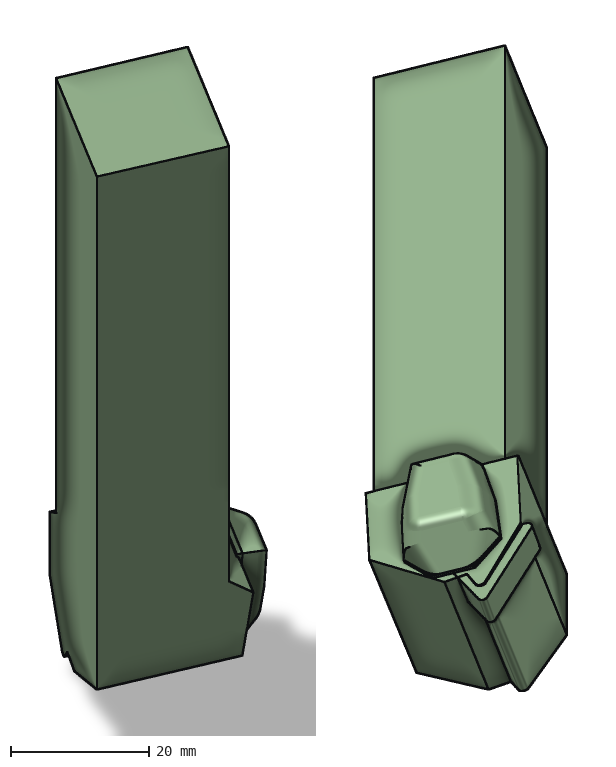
import cadquery as cq
import math


shank_top = 126.4
shank_width = 20.0
shank_depth = 20.0
side_relief = 0.5

head_overhang = 3.0
bevel_top_z = 30.3
shoulder_z = 13.3
nose_x = 3.5
nose_apex_z = 1.9
nose_radius = 0.9
notch_x = 5.4
notch_z = 5.7
heel_x = 8.8
heel_z = 5.2

face_tilt = 7
face_top_y = 23.6
face_slope = math.tan(math.radians(face_tilt))
face_top_z = bevel_top_z - (face_top_y - shank_depth)
face_bottom_y = face_top_y - face_top_z * face_slope

insert_side = 16.5
insert_thickness = 4.8
insert_corner_radius = 0.8
insert_tip_x = 3.3
insert_recess = 0.4
insert_side_tilt = 3

clamp_left_outline = [(4.2, 6.6), (0, 11.1), (0.5, 18.7)]
clamp_top_left = (2.4, 27.5)
clamp_right_outline = [(12.9, 27.5), (14.7, 18.7), (14.7, 11.1), (10.6, 6.6)]
clamp_low_end = clamp_left_outline[0][1]
clamp_height = 5.5
clamp_foot = 0.5
clamp_seat_depth = 0.4
clamp_draft = 20
clamp_lead_angle = 50
clamp_corner_radius = 2.5
clamp_crest_radius = 3.3


def face_plane(recess=0, side_tilt=0):
    """Plane along the head face: local X along X, local Y up the face and local Z into the head."""
    turn = math.tan(math.radians(side_tilt))
    return cq.Plane(
        origin=(0, face_bottom_y - recess, 0),
        xDir=(1, turn, 0),
        normal=(turn, -1, face_slope),
    )


def make_head_and_shank():
    front_outline = [
        (0, shank_top),
        (0, bevel_top_z),
        (-head_overhang, bevel_top_z - head_overhang),
        (-head_overhang, shoulder_z),
        (nose_x, nose_apex_z),
        (notch_x, notch_z),
        (heel_x, heel_z),
        (shank_width, shoulder_z),
        (shank_width, shank_top),
    ]
    side_outline = [
        (0, 0),
        (face_bottom_y, 0),
        (face_top_y, face_top_z),
        (shank_depth, bevel_top_z),
        (shank_depth, shank_top),
        (0, shank_top),
    ]
    lean = face_top_y * math.tan(math.radians(side_relief))
    top_outline = [
        (-head_overhang, 0),
        (shank_width - lean, 0),
        (shank_width, face_top_y),
        (-head_overhang, face_top_y),
    ]
    nose_point = (nose_x, face_top_y / 2, nose_apex_z)
    front_prism = (
        cq.Workplane("XZ")
        .polyline(front_outline)
        .close()
        .extrude(-face_top_y)
        .edges(cq.selectors.NearestToPointSelector(nose_point))
        .fillet(nose_radius)
    )
    side_prism = (
        cq.Workplane("YZ")
        .polyline(side_outline)
        .close()
        .extrude(shank_width + head_overhang, both=True)
    )
    top_prism = cq.Workplane("XY").polyline(top_outline).close().extrude(shank_top)
    return front_prism.intersect(side_prism).intersect(top_prism)


def clamp_section(start, length, draft=0):
    """Length of the clamp, growing along local -Z away from the head face."""
    outline = clamp_left_outline + [clamp_top_left] + clamp_right_outline
    x, y = clamp_top_left
    return (
        cq.Workplane("XY", origin=(0, 0, -start))
        .polyline(outline)
        .close()
        .extrude(-length, taper=draft)
        .edges(cq.selectors.NearestToPointSelector((x, y, -start - length / 2)))
        .fillet(clamp_corner_radius)
    )


def make_clamp():
    """Drafted cap with a sloped lower end, on a straight foot that is seated in the head."""
    foot = clamp_section(-clamp_seat_depth, clamp_seat_depth + clamp_foot)
    cap = clamp_section(clamp_foot, clamp_height - clamp_foot, clamp_draft)

    lead_run = clamp_height * math.tan(math.radians(clamp_lead_angle))
    lead_cut = (
        cq.Workplane("YZ")
        .moveTo(clamp_low_end, -clamp_foot)
        .line(lead_run, -clamp_height)
        .hLineTo(0)
        .vLineTo(-clamp_foot)
        .close()
        .extrude(shank_width)
    )
    cap = cap.cut(lead_cut)

    lead_face = cap.faces(cq.selectors.ParallelDirSelector(cq.Vector(0, -clamp_height, -lead_run)))
    cap = cap.faces("<Z").add(lead_face).edges().edges("not >Z").fillet(clamp_crest_radius)
    return cq.Workplane(foot.union(cap).val().moved(face_plane().location))


def make_insert():
    plane = face_plane(insert_recess, insert_side_tilt)
    triangle_height = insert_side * math.sin(math.radians(60))
    return (
        cq.Workplane(plane)
        .center(insert_tip_x, -insert_corner_radius)
        .polyline([(0, 0), (insert_side / 2, triangle_height), (-insert_side / 2, triangle_height)])
        .close()
        .extrude(insert_thickness)
        .edges(cq.selectors.ParallelDirSelector(plane.zDir))
        .fillet(insert_corner_radius)
    )


insert = make_insert()
holder = make_head_and_shank().union(make_clamp()).cut(insert).solids()

result = cq.Compound.makeCompound([holder.val(), insert.val()])